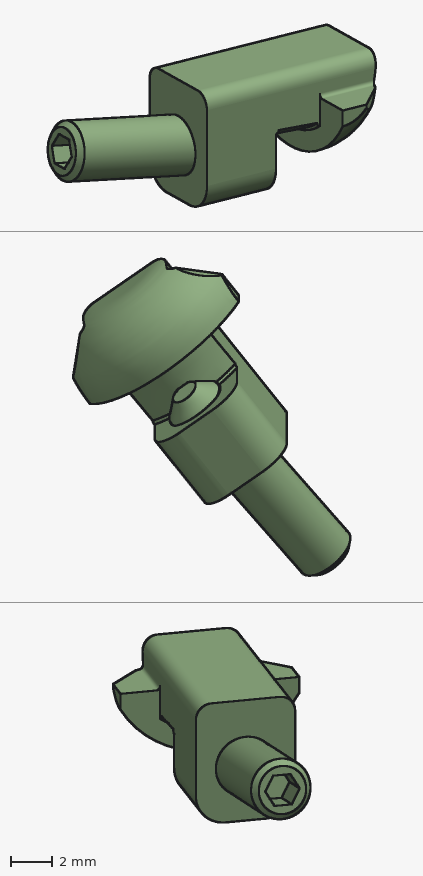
import cadquery as cq
import math

body_width = 5.0
body_length = 9.99
body_height = 6.25
top_radius = 0.78
bottom_radius = 1.5
block_length = 4.05

head_width = 9.0
head_thickness = 3.39
head_radius = 5.25
head_axis_z = 6.5
head_corner_cut = 1.99
wing_top_z = 4.65
wing_root_radius = 0.2
head_start = body_length - head_thickness

neck_head_radius = 4.02
neck_block_radius = 3.91
neck_corner_radius = 0.15

screw_diameter = 3.0
screw_tilt = 10
screw_axis_z = 2.83
screw_drive_length = 6.93
screw_tip_length = 5.07
drive_chamfer = 0.3
tip_chamfer = 0.82
hex_across_flats = 1.5
hex_depth = 1.9


def make_body():
    """Full-length bar with rounded long edges."""
    bar = cq.Workplane("XY").box(body_width, body_length, body_height, centered=(True, False, False))
    bar = bar.edges("|Y and >Z").fillet(top_radius)
    return bar.edges("|Y and <Z").fillet(bottom_radius)


def revolve_about_head_axis(profile):
    """Revolve a profile, drawn as (distance from axis, Y), about the head axis."""
    solid = profile.close().revolve(360, (0, 0, 0), (0, 1, 0))
    return solid.translate((0, 0, head_axis_z))


def make_envelope():
    """Turned limit of the part: plain block, grooved neck and rounded head."""
    block_radius = head_axis_z + body_width
    flat_radius = head_radius - head_thickness
    arc_step = head_thickness * math.sqrt(0.5)
    profile = (
        cq.Workplane("XY")
        .lineTo(block_radius, 0)
        .lineTo(block_radius, block_length)
        .lineTo(neck_block_radius + neck_corner_radius, block_length)
        .radiusArc((neck_block_radius, block_length + neck_corner_radius), -neck_corner_radius)
        .lineTo(neck_head_radius, head_start - neck_corner_radius)
        .radiusArc((neck_head_radius + neck_corner_radius, head_start), -neck_corner_radius)
        .lineTo(head_radius, head_start)
        .threePointArc((flat_radius + arc_step, head_start + arc_step), (flat_radius, body_length))
        .lineTo(0, body_length)
    )
    return revolve_about_head_axis(profile)


def make_wings():
    """Flat-topped plate across the head, its back corners cut at 45 degrees."""
    plate = cq.Workplane("XY").box(head_width, head_thickness, wing_top_z, centered=(True, False, False))
    plate = plate.translate((0, head_start, 0))
    return plate.edges("|Z and >Y").chamfer(head_corner_cut)


def make_wing_root(side):
    """Concave rounding between a wing top and the side of the body."""
    wall = side * body_width / 2
    radius = wing_root_radius
    root = (
        cq.Workplane("XZ", origin=(0, head_start, 0))
        .moveTo(wall, wing_top_z)
        .lineTo(wall + side * radius, wing_top_z)
        .radiusArc((wall, wing_top_z + radius), side * radius)
        .close()
        .extrude(-head_thickness)
    )
    return root


def make_screw():
    """Set screw with chamfered ends and a hexagon socket."""
    tilt = math.radians(screw_tilt)
    axis = cq.Plane(
        origin=(0, 0, screw_axis_z),
        xDir=(1, 0, 0),
        normal=(0, -math.cos(tilt), math.sin(tilt)),
    )
    total_length = screw_drive_length + screw_tip_length
    hex_across_corners = hex_across_flats / math.cos(math.radians(30))
    shank = cq.Workplane("XY").circle(screw_diameter / 2).extrude(total_length)
    shank = shank.faces(">Z").chamfer(drive_chamfer)
    shank = shank.faces("<Z").chamfer(tip_chamfer)
    socket = (
        cq.Workplane("XY", origin=(0, 0, total_length - hex_depth))
        .polygon(6, hex_across_corners)
        .extrude(hex_depth)
    )
    screw = shank.cut(socket).translate((0, 0, -screw_tip_length))
    return cq.Workplane(screw.val().moved(cq.Location(axis)))


hammer = make_body().union(make_wings())
for side in (-1, 1):
    hammer = hammer.union(make_wing_root(side))
hammer = hammer.intersect(make_envelope())

result = hammer.union(make_screw())